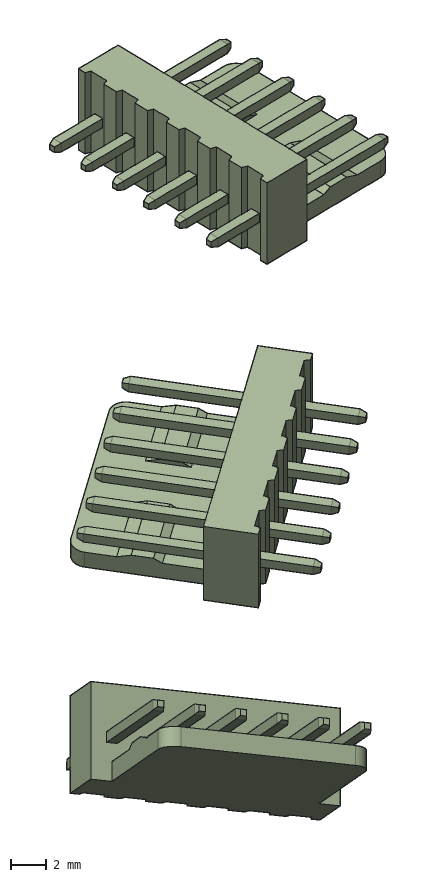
import cadquery as cq

BODY_WIDTH = 15.3
BODY_DEPTH = 3.2
BODY_HEIGHT = 5.8

PIN_COUNT = 6
PIN_PITCH = 2.54
PIN_SIZE = 0.65
PIN_CENTRE_Z = 2.6
PIN_REAR_REACH = 7.6
PIN_FRONT_REACH = 3.4
PIN_TIP_SIZE = 0.38
PIN_TIP_LENGTH = 0.41

GROOVE_DEPTH = 0.35
GROOVE_FLOOR_WIDTH = 1.25
GROOVE_MOUTH_WIDTH = 1.53

TONGUE_WIDTH = PIN_PITCH * (PIN_COUNT - 1)
TONGUE_LENGTH = 8.2
TONGUE_THICKNESS = 1.18
TONGUE_CORNER_RADIUS = 1.0

RIDGE_GAP = 3.52
RIDGE_HEIGHT = 0.29
RIDGE_FRONT_Y = 2.66
RIDGE_CREST_FRONT_Y = 3.18
RIDGE_CREST_REAR_Y = 4.48
RIDGE_REAR_Y = 5.32

pin_positions = [(i - (PIN_COUNT - 1) / 2) * PIN_PITCH for i in range(PIN_COUNT)]
body_front_y = -BODY_DEPTH


def make_body():
    return cq.Workplane("XY").box(
        BODY_WIDTH, BODY_DEPTH, BODY_HEIGHT, centered=(True, False, False)
    ).translate((0, body_front_y, 0))


def make_groove(x):
    floor_y = body_front_y + GROOVE_DEPTH
    return (
        cq.Workplane("XY")
        .moveTo(x - GROOVE_MOUTH_WIDTH / 2, body_front_y)
        .lineTo(x - GROOVE_FLOOR_WIDTH / 2, floor_y)
        .lineTo(x + GROOVE_FLOOR_WIDTH / 2, floor_y)
        .lineTo(x + GROOVE_MOUTH_WIDTH / 2, body_front_y)
        .close()
        .extrude(BODY_HEIGHT)
    )


def make_tongue():
    return (
        cq.Workplane("XY")
        .box(TONGUE_WIDTH, TONGUE_LENGTH, TONGUE_THICKNESS, centered=(True, False, False))
        .edges("|Z and >Y")
        .fillet(TONGUE_CORNER_RADIUS)
    )


def make_ridges():
    """One ridge profile swept across the tongue, then split by the central gap."""
    crest_z = TONGUE_THICKNESS + RIDGE_HEIGHT
    full_ridge = (
        cq.Workplane("YZ")
        .moveTo(RIDGE_FRONT_Y, 0)
        .lineTo(RIDGE_FRONT_Y, TONGUE_THICKNESS)
        .lineTo(RIDGE_CREST_FRONT_Y, crest_z)
        .lineTo(RIDGE_CREST_REAR_Y, crest_z)
        .lineTo(RIDGE_REAR_Y, TONGUE_THICKNESS)
        .lineTo(RIDGE_REAR_Y, 0)
        .close()
        .extrude(TONGUE_WIDTH / 2, both=True)
    )
    gap = cq.Workplane("XY").box(
        RIDGE_GAP, TONGUE_LENGTH, crest_z, centered=(True, False, False)
    )
    return full_ridge.cut(gap)


def make_pin_tip(shank_end_y, direction):
    """Pyramid frustum narrowing from the shank end along +Y (1) or -Y (-1)."""
    return (
        cq.Workplane(cq.Plane((0, shank_end_y, 0), xDir=(1, 0, 0), normal=(0, direction, 0)))
        .rect(PIN_SIZE, PIN_SIZE)
        .workplane(offset=PIN_TIP_LENGTH)
        .rect(PIN_TIP_SIZE, PIN_TIP_SIZE)
        .loft(ruled=True)
    )


def make_pin():
    rear_y = PIN_REAR_REACH - PIN_TIP_LENGTH
    front_y = body_front_y - PIN_FRONT_REACH + PIN_TIP_LENGTH
    shank = cq.Workplane("XY").box(
        PIN_SIZE, rear_y - front_y, PIN_SIZE, centered=(True, False, True)
    ).translate((0, front_y, 0))
    return shank.union(make_pin_tip(rear_y, 1)).union(make_pin_tip(front_y, -1))


body = make_body()
for pin_x in pin_positions:
    body = body.cut(make_groove(pin_x))

result = body.union(make_tongue()).union(make_ridges())

pin = make_pin()
for pin_x in pin_positions:
    result = result.union(pin.translate((pin_x, 0, PIN_CENTRE_Z)))